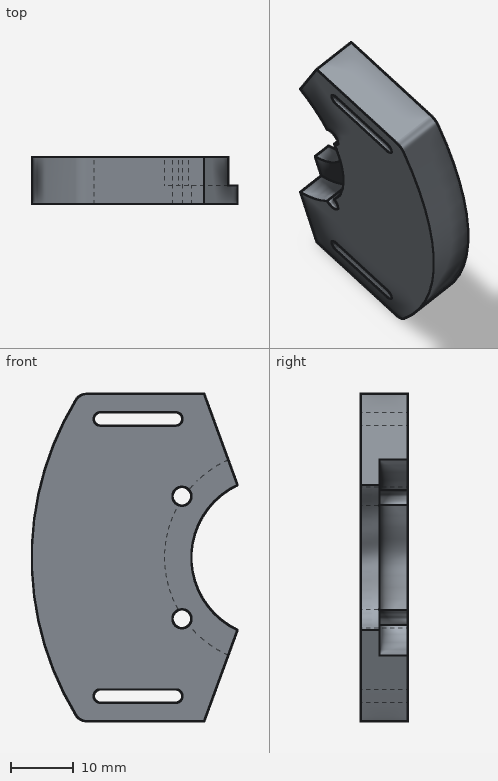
import cadquery as cq
import math

length = 32.85
height = 52.2
thickness = 7.5
half_height = height / 2
outer_radius = 48.3
corner_radius = 2.05
flat_end_x = 27.5
tip_z = 11.55

bore_left_x = 25.5
counterbore_radius = 17.0
front_lip = 3.0

hole_diameter = 3.0
hole_x = 23.95
hole_z = 9.75
slot_length = 14.1
slot_width = 2.1
slot_center_x = 16.95
slot_z = 22.1

bore_depth = length - bore_left_x
bore_radius = (bore_depth**2 + tip_z**2) / (2 * bore_depth)
bore_center_x = bore_left_x + bore_radius

arc_end_x = outer_radius - math.sqrt(outer_radius**2 - half_height**2)


def front_plane(y=0):
    """XZ plane at the given Y; positive extrusion runs toward -Y."""
    return cq.Workplane("XZ", origin=(0, y, 0))


def make_plate():
    plate = (
        front_plane(thickness)
        .moveTo(arc_end_x, half_height)
        .lineTo(flat_end_x, half_height)
        .lineTo(length, tip_z)
        .threePointArc((bore_left_x, 0), (length, -tip_z))
        .lineTo(flat_end_x, -half_height)
        .lineTo(arc_end_x, -half_height)
        .threePointArc((0, 0), (arc_end_x, half_height))
        .close()
        .extrude(thickness)
    )
    return plate.edges("|Y").edges("<X").fillet(corner_radius)


def make_counterbore():
    return (
        front_plane(thickness)
        .center(bore_center_x, 0)
        .circle(counterbore_radius)
        .extrude(thickness - front_lip)
    )


def make_holes():
    return (
        front_plane(thickness)
        .pushPoints([(hole_x, hole_z), (hole_x, -hole_z)])
        .circle(hole_diameter / 2)
        .extrude(thickness)
    )


def make_slots():
    return (
        front_plane(thickness)
        .pushPoints([(slot_center_x, slot_z), (slot_center_x, -slot_z)])
        .slot2D(slot_length, slot_width)
        .extrude(thickness)
    )


result = make_plate().cut(make_counterbore()).cut(make_holes()).cut(make_slots())